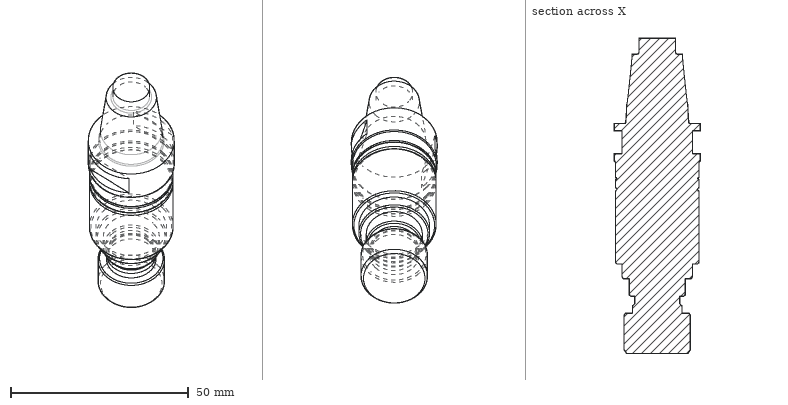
import cadquery as cq
import math

pin_diameter = 10.4
taper_top_diameter = 14.2
taper_bottom_diameter = 17.4
flare_diameter = 17.8
flange_diameter = 24.2
body_diameter = 23.6
upper_step_diameter = 19.85
lower_step_diameter = 15.8
neck_diameter = 12.7
collar_diameter = 14.0
nut_diameter = 18.7

total_length = 88.6
taper_top = 84.2
taper_bottom = 69.1
flange_top = 64.7
flange_bottom = 53.8
upper_groove_middle = 49.2
lower_groove_middle = 46.2
body_bottom = 25.2
upper_step_bottom = 21.0
lower_step_bottom = 16.0
neck_bottom = 14.0
nut_top = 11.3

pin_fillet = 0.5
flange_fillet = 0.35
edge_chamfer = 0.4
flange_chamfer = (flange_diameter - body_diameter) / 2
upper_groove_depth = 0.35
lower_groove_depth = 0.5
nut_bottom_chamfer = 0.7
nut_bottom_chamfer_height = 1.1

width_across_flats = 19.85
flat_bottom = 56.2
flat_height = 6.4


def corner_fillet(profile, shaft_radius, face_height, fillet):
    """From the fillet's upper end on a shaft, round the corner onto the face below it."""
    arc_offset = fillet * (1 - math.sqrt(0.5))
    return profile.threePointArc(
        (shaft_radius + arc_offset, face_height + arc_offset),
        (shaft_radius + fillet, face_height),
    )


def flare(profile):
    """Widen from the taper towards the flange along a large arc."""
    start_radius = taper_bottom_diameter / 2
    end_radius = flare_diameter / 2
    drop = taper_bottom - flange_top - flange_fillet
    widening = end_radius - start_radius
    arc_radius = (drop**2 + widening**2) / (2 * widening)
    half_angle = math.asin(drop / arc_radius) / 2
    middle = (
        start_radius + arc_radius * (1 - math.cos(half_angle)),
        taper_bottom - arc_radius * math.sin(half_angle),
    )
    return profile.threePointArc(middle, (end_radius, taper_bottom - drop))


def v_groove(profile, radius, middle, depth):
    """Cut a symmetrical 45 degree groove while going down a cylinder."""
    return (
        profile.lineTo(radius, middle + depth)
        .lineTo(radius - depth, middle)
        .lineTo(radius, middle - depth)
    )


def chamfered_step(profile, diameter, bottom, next_diameter):
    """Go down a cylinder, chamfer its lower edge and step in to the next one."""
    radius = diameter / 2
    return (
        profile.lineTo(radius, bottom + edge_chamfer)
        .lineTo(radius - edge_chamfer, bottom)
        .lineTo(next_diameter / 2, bottom)
    )


def turned_body():
    """Revolve the half section, described from the pin down to the nut."""
    body_radius = body_diameter / 2
    flange_radius = flange_diameter / 2
    nut_radius = nut_diameter / 2

    profile = cq.Workplane("XZ").moveTo(0, total_length).lineTo(pin_diameter / 2, total_length)
    profile = profile.lineTo(pin_diameter / 2, taper_top + pin_fillet)
    profile = corner_fillet(profile, pin_diameter / 2, taper_top, pin_fillet)
    profile = profile.lineTo(taper_top_diameter / 2, taper_top)
    profile = profile.lineTo(taper_bottom_diameter / 2, taper_bottom)

    profile = flare(profile)
    profile = corner_fillet(profile, flare_diameter / 2, flange_top, flange_fillet)

    profile = profile.lineTo(flange_radius, flange_top)
    profile = profile.lineTo(flange_radius, flange_bottom + flange_chamfer)
    profile = profile.lineTo(body_radius, flange_bottom)
    profile = v_groove(profile, body_radius, upper_groove_middle, upper_groove_depth)
    profile = v_groove(profile, body_radius, lower_groove_middle, lower_groove_depth)

    profile = chamfered_step(profile, body_diameter, body_bottom, upper_step_diameter)
    profile = chamfered_step(profile, upper_step_diameter, upper_step_bottom, lower_step_diameter)
    profile = chamfered_step(profile, lower_step_diameter, lower_step_bottom, neck_diameter)

    shoulder = (collar_diameter - neck_diameter) / 2
    profile = profile.lineTo(neck_diameter / 2, neck_bottom)
    profile = profile.lineTo(collar_diameter / 2, neck_bottom - shoulder)
    profile = profile.lineTo(collar_diameter / 2, nut_top)

    profile = profile.lineTo(nut_radius - edge_chamfer, nut_top)
    profile = profile.lineTo(nut_radius, nut_top - edge_chamfer)
    profile = profile.lineTo(nut_radius, nut_bottom_chamfer_height)
    profile = profile.lineTo(nut_radius - nut_bottom_chamfer, 0).lineTo(0, 0)
    return profile.close().revolve(360, (0, 0, 0), (0, 1, 0))


def flats_cutter():
    """Blocks that leave two flats facing -Y and +Y."""
    block_depth = flange_diameter
    offset = (width_across_flats + block_depth) / 2
    return (
        cq.Workplane("XY", origin=(0, 0, flat_bottom))
        .pushPoints([(0, -offset), (0, offset)])
        .rect(flange_diameter, block_depth)
        .extrude(flat_height)
    )


result = turned_body().cut(flats_cutter())